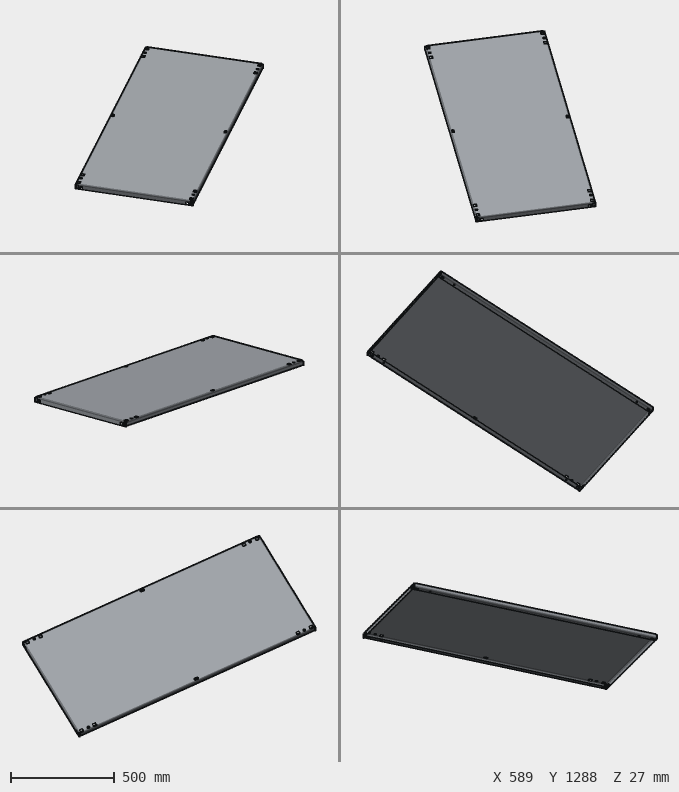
import cadquery as cq

LENGTH = 1288.0
WIDTH = 589.0
HEIGHT = 27.0

SHEET = 2.5
SIDE_BEND_RADIUS = 5.8
END_BEND_RADIUS = 4.0
INNER_RADIUS = SIDE_BEND_RADIUS - SHEET
LIP_WIDTH = 25.0
CORNER_RELIEF = 9.0
SIDE_FLANGE_SETBACK = 2 * SHEET

HOLE_INSET = 14.0
SLOT_INSET = 20.0
SCREW_INSET = 58.0
SQUARE_INSET = 91.0
WINDOW_SIZE = 15.0
LIP_HOLE_WIDTH = 8.0
LIP_SLOT_LENGTH = 17.0
SCREW_HEAD_DIAMETER = 13.0
MID_SLOT_LENGTH = 22.0
COUNTERSINK_TAPER = 60

END_HOLE_DIAMETER = 15.0
END_HOLE_INSET = 30.0
END_HOLE_HEIGHT = 9.5

POST_CHAMFER = 3.0
TAB_REACH = 17.0

HALF_WIDTH = WIDTH / 2
HALF_LENGTH = LENGTH / 2
SHEET_UNDERSIDE = HEIGHT - SHEET
SIDES = (-1, 1)
CORNERS = [(x_side, y_side) for x_side in SIDES for y_side in SIDES]


def box(x_range, y_range, z_range):
    """Box between two limits along each axis."""
    limits = (x_range, y_range, z_range)
    size = [high - low for low, high in limits]
    low_corner = [low for low, _ in limits]
    return cq.Workplane("XY").box(*size, centered=False).translate(tuple(low_corner))


def to_side(body, side):
    """Leave a body on the negative side, or turn it half round to the positive one."""
    return body if side < 0 else body.rotate((0, 0, 0), (0, 0, 1), 180)


def to_corner(body, x_side, y_side):
    """Mirror a body from the (-X, -Y) corner to another corner."""
    if x_side > 0:
        body = body.mirror("YZ")
    if y_side > 0:
        body = body.mirror("XZ")
    return body


def top_sheet():
    """Flat top between the bends."""
    return (
        cq.Workplane("XY")
        .workplane(offset=SHEET_UNDERSIDE)
        .rect(WIDTH - 2 * SIDE_BEND_RADIUS, LENGTH - 2 * END_BEND_RADIUS)
        .extrude(SHEET)
    )


def side_fold():
    """C-shaped fold along the -X side: bend, upright flange, bend and inward lip."""
    return (
        cq.Workplane("XZ")
        .moveTo(SIDE_BEND_RADIUS, HEIGHT)
        .radiusArc((0, HEIGHT - SIDE_BEND_RADIUS), -SIDE_BEND_RADIUS)
        .lineTo(0, SIDE_BEND_RADIUS)
        .radiusArc((SIDE_BEND_RADIUS, 0), -SIDE_BEND_RADIUS)
        .lineTo(LIP_WIDTH, 0)
        .lineTo(LIP_WIDTH, SHEET)
        .lineTo(SIDE_BEND_RADIUS, SHEET)
        .radiusArc((SHEET, SIDE_BEND_RADIUS), INNER_RADIUS)
        .lineTo(SHEET, HEIGHT - SIDE_BEND_RADIUS)
        .radiusArc((SIDE_BEND_RADIUS, SHEET_UNDERSIDE), INNER_RADIUS)
        .close()
        .extrude(HALF_LENGTH - SIDE_FLANGE_SETBACK, both=True)
        .translate((-HALF_WIDTH, 0, 0))
    )


def end_fold():
    """L-shaped fold along the -Y end: bend and upright flange."""
    return (
        cq.Workplane("YZ")
        .moveTo(END_BEND_RADIUS, HEIGHT)
        .radiusArc((0, HEIGHT - END_BEND_RADIUS), -END_BEND_RADIUS)
        .lineTo(0, 0)
        .lineTo(SHEET, 0)
        .lineTo(SHEET, SHEET_UNDERSIDE - INNER_RADIUS)
        .radiusArc((SHEET + INNER_RADIUS, SHEET_UNDERSIDE), INNER_RADIUS)
        .lineTo(SHEET + INNER_RADIUS, HEIGHT)
        .close()
        .extrude(HALF_WIDTH - CORNER_RELIEF, both=True)
        .translate((0, -HALF_LENGTH, 0))
    )


def corner_relief():
    """Cutter that frees the top bends from each other in the (-X, -Y) corner."""
    return box(
        (-HALF_WIDTH, -HALF_WIDTH + CORNER_RELIEF),
        (-HALF_LENGTH, -HALF_LENGTH + CORNER_RELIEF),
        (HEIGHT - SIDE_BEND_RADIUS, HEIGHT),
    )


def round_ended(base, length):
    """Round hole of the lip's hole width, or a slot along Y where it is longer than that."""
    if length > LIP_HOLE_WIDTH:
        return base.slot2D(length, LIP_HOLE_WIDTH, 90)
    return base.circle(LIP_HOLE_WIDTH / 2)


def window_cutter(y_inset, lip_hole_length):
    """Square window in the top sheet with a smaller round-ended hole below it in the lip."""
    centre = (-HALF_WIDTH + HOLE_INSET, -HALF_LENGTH + y_inset)
    window = (
        cq.Workplane("XY")
        .workplane(offset=SHEET_UNDERSIDE)
        .center(*centre)
        .rect(WINDOW_SIZE, WINDOW_SIZE)
        .extrude(SHEET)
    )
    lip_hole = round_ended(cq.Workplane("XY").center(*centre), lip_hole_length).extrude(SHEET)
    return window.add(lip_hole).combine()


def screw_cutter():
    """Countersunk round hole through the top sheet."""
    centre = (-HALF_WIDTH + HOLE_INSET, -HALF_LENGTH + SCREW_INSET, HEIGHT)
    return (
        cq.Workplane("XY", origin=centre)
        .circle(SCREW_HEAD_DIAMETER / 2)
        .extrude(-SHEET, taper=COUNTERSINK_TAPER)
    )


def mid_slot_cutter():
    """Countersunk slot through the top sheet, halfway along a long side."""
    return (
        cq.Workplane("XY", origin=(-HALF_WIDTH + HOLE_INSET, 0, HEIGHT))
        .slot2D(MID_SLOT_LENGTH, SCREW_HEAD_DIAMETER, 90)
        .extrude(-SHEET, taper=COUNTERSINK_TAPER)
    )


def end_hole_cutter():
    """Round hole through the end flange."""
    return (
        cq.Workplane("XZ", origin=(-HALF_WIDTH + END_HOLE_INSET, -HALF_LENGTH, END_HOLE_HEIGHT))
        .circle(END_HOLE_DIAMETER / 2)
        .extrude(-SHEET)
    )


def folded_panel():
    """The sheet-metal panel with its folds and holes."""
    panel = top_sheet()
    for side in SIDES:
        panel = panel.union(to_side(side_fold(), side)).union(to_side(end_fold(), side))
    cutters = (
        corner_relief(),
        window_cutter(SLOT_INSET, LIP_SLOT_LENGTH),
        window_cutter(SQUARE_INSET, LIP_HOLE_WIDTH),
        screw_cutter(),
        end_hole_cutter(),
    )
    for x_side, y_side in CORNERS:
        for cutter in cutters:
            panel = panel.cut(to_corner(cutter, x_side, y_side))
    for side in SIDES:
        panel = panel.cut(to_side(mid_slot_cutter(), side))
    return panel


def corner_piece():
    """Post that closes the (-X, -Y) corner, with a tab behind the end flange."""
    post = box((0, CORNER_RELIEF), (0, SIDE_FLANGE_SETBACK), (0, HEIGHT - SIDE_BEND_RADIUS))
    tab = box((0, TAB_REACH), (SHEET, SIDE_FLANGE_SETBACK), (0, SHEET_UNDERSIDE - INNER_RADIUS))
    piece = post.edges("|Z and <X and <Y").chamfer(POST_CHAMFER).union(tab)
    return piece.translate((-HALF_WIDTH, -HALF_LENGTH, 0))


panel = folded_panel()
corner_pieces = [to_corner(corner_piece(), x_side, y_side) for x_side, y_side in CORNERS]

result = cq.Compound.makeCompound([panel.val(), *[piece.val() for piece in corner_pieces]])